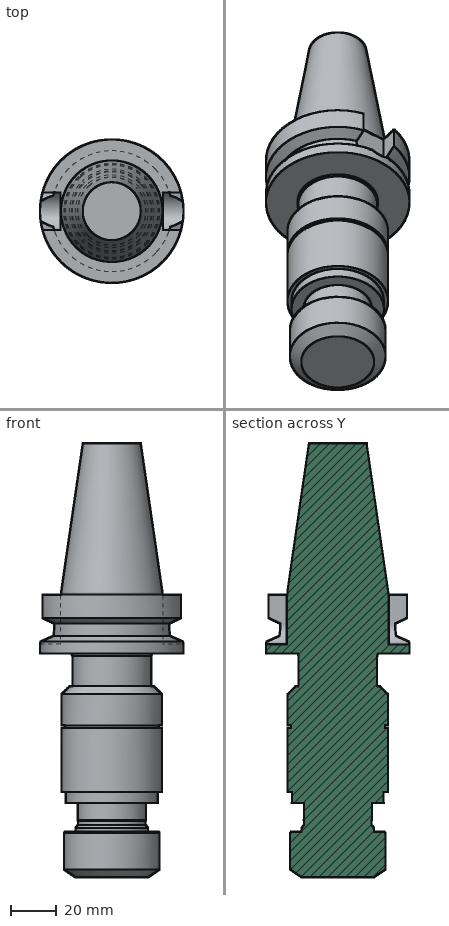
import cadquery as cq

TOTAL_LENGTH = 190.0

NUT_DIAMETER = 42.0
NUT_FACE_DIAMETER = 32.0
NUT_CHAMFER_TOP = 3.5
NUT_TOP = 20.0
NUT_EDGE_CHAMFER = 0.5
COLLAR_DIAMETER = 32.0
COLLAR_TOP = 21.7
RELIEF_DIAMETER = 29.6
RELIEF_BOTTOM = 23.0
RELIEF_TOP = 24.7
LOWER_NECK_DIAMETER = 30.0
LOWER_NECK_BEVEL = 0.4

STEP_DIAMETER = 40.5
STEP_BOTTOM = 32.5
BODY_DIAMETER = 44.0
BODY_BOTTOM = 37.2
RING_GROOVE_DIAMETER = 41.5
RING_GROOVE_BOTTOM = 65.4
RING_GROOVE_WIDTH = 1.1
SHOULDER_BOTTOM = 80.2
SHOULDER_TOP = 83.6
SHOULDER_DIAMETER = 36.9
UPPER_NECK_DIAMETER = 34.5
UPPER_NECK_FLARE = 0.4
UPPER_NECK_FLARE_HEIGHT = 1.0

FLANGE_DIAMETER = 62.9
FLANGE_BOTTOM = 97.8
FLANGE_TOP = 123.7
GRIP_GROOVE_DIAMETER = 53.0
GRIP_GROOVE_MIDDLE = 108.3
GRIP_FLOOR_HEIGHT = 5.3
GRIP_OPENING_HEIGHT = 10.3

TAPER_BASE_DIAMETER = 44.5
TAPER_RATIO = 7 / 24
TAPER_BOTTOM = 124.6

SLOT_WIDTH = 16.5
SLOT_BOTTOM = 102.0
SLOT_FLOOR_OFFSET = 22.5


def revolved_body():
    """Revolve the full outside outline, listed as (diameter, height) from nut to taper."""
    ring_groove_top = RING_GROOVE_BOTTOM + RING_GROOVE_WIDTH
    taper_top_diameter = TAPER_BASE_DIAMETER - TAPER_RATIO * (TOTAL_LENGTH - TAPER_BOTTOM)
    outline = [
        (0, 0),
        (NUT_FACE_DIAMETER, 0),
        (NUT_DIAMETER, NUT_CHAMFER_TOP),
        (NUT_DIAMETER, NUT_TOP - NUT_EDGE_CHAMFER),
        (NUT_DIAMETER - 2 * NUT_EDGE_CHAMFER, NUT_TOP),
        (COLLAR_DIAMETER, NUT_TOP),
        (COLLAR_DIAMETER, COLLAR_TOP),
        (RELIEF_DIAMETER, RELIEF_BOTTOM),
        (RELIEF_DIAMETER, RELIEF_TOP),
        (LOWER_NECK_DIAMETER, RELIEF_TOP + LOWER_NECK_BEVEL),
        (LOWER_NECK_DIAMETER, STEP_BOTTOM),
        (STEP_DIAMETER, STEP_BOTTOM),
        (STEP_DIAMETER, BODY_BOTTOM),
        (BODY_DIAMETER, BODY_BOTTOM),
        (BODY_DIAMETER, RING_GROOVE_BOTTOM),
        (RING_GROOVE_DIAMETER, RING_GROOVE_BOTTOM),
        (RING_GROOVE_DIAMETER, ring_groove_top),
        (BODY_DIAMETER, ring_groove_top),
        (BODY_DIAMETER, SHOULDER_BOTTOM),
        (SHOULDER_DIAMETER, SHOULDER_TOP),
        (UPPER_NECK_DIAMETER, SHOULDER_TOP),
        (UPPER_NECK_DIAMETER, FLANGE_BOTTOM - UPPER_NECK_FLARE_HEIGHT),
        (UPPER_NECK_DIAMETER + 2 * UPPER_NECK_FLARE, FLANGE_BOTTOM),
        (FLANGE_DIAMETER, FLANGE_BOTTOM),
        (FLANGE_DIAMETER, GRIP_GROOVE_MIDDLE - GRIP_OPENING_HEIGHT / 2),
        (GRIP_GROOVE_DIAMETER, GRIP_GROOVE_MIDDLE - GRIP_FLOOR_HEIGHT / 2),
        (GRIP_GROOVE_DIAMETER, GRIP_GROOVE_MIDDLE + GRIP_FLOOR_HEIGHT / 2),
        (FLANGE_DIAMETER, GRIP_GROOVE_MIDDLE + GRIP_OPENING_HEIGHT / 2),
        (FLANGE_DIAMETER, FLANGE_TOP),
        (TAPER_BASE_DIAMETER, FLANGE_TOP),
        (TAPER_BASE_DIAMETER, TAPER_BOTTOM),
        (taper_top_diameter, TOTAL_LENGTH),
        (0, TOTAL_LENGTH),
    ]
    points = [(diameter / 2, height) for diameter, height in outline]
    return cq.Workplane("XZ").polyline(points).close().revolve(360, (0, 0), (0, 1))


def drive_slot(side):
    """Cutter for one drive slot; side is +1 for +X and -1 for -X."""
    half_width = SLOT_WIDTH / 2
    arc_center = SLOT_BOTTOM + half_width
    depth = FLANGE_DIAMETER / 2 - SLOT_FLOOR_OFFSET
    return (
        cq.Workplane("YZ", origin=(side * SLOT_FLOOR_OFFSET, 0, 0))
        .moveTo(-half_width, FLANGE_TOP)
        .lineTo(-half_width, arc_center)
        .threePointArc((0, SLOT_BOTTOM), (half_width, arc_center))
        .lineTo(half_width, FLANGE_TOP)
        .close()
        .extrude(side * depth)
    )


result = revolved_body()
for slot_side in (-1, 1):
    result = result.cut(drive_slot(slot_side))